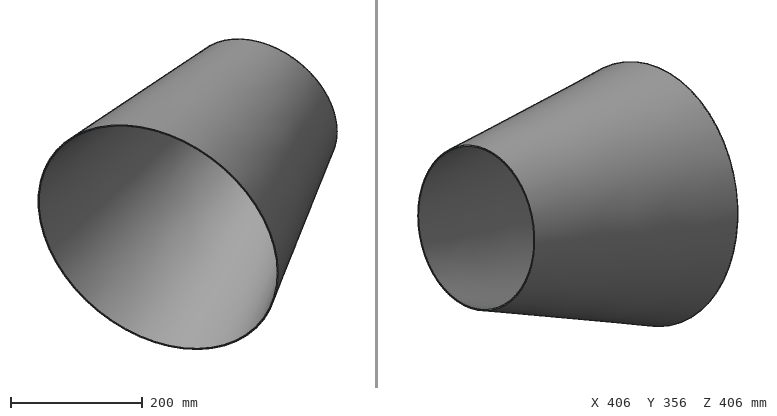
import cadquery as cq

large_diameter = 406.0
small_diameter = 254.0
wall = 2.0
length = 356.0

large_radius = large_diameter / 2
small_radius = small_diameter / 2
wide_end = -length / 2
narrow_end = length / 2


def conical_shell():
    """Revolve the sloping wall section around the Y axis."""
    return (
        cq.Workplane("XY")
        .moveTo(large_radius - wall, wide_end)
        .lineTo(large_radius, wide_end)
        .lineTo(small_radius, narrow_end)
        .lineTo(small_radius - wall, narrow_end)
        .close()
        .revolve(360, (0, 0, 0), (0, 1, 0))
    )


result = conical_shell()